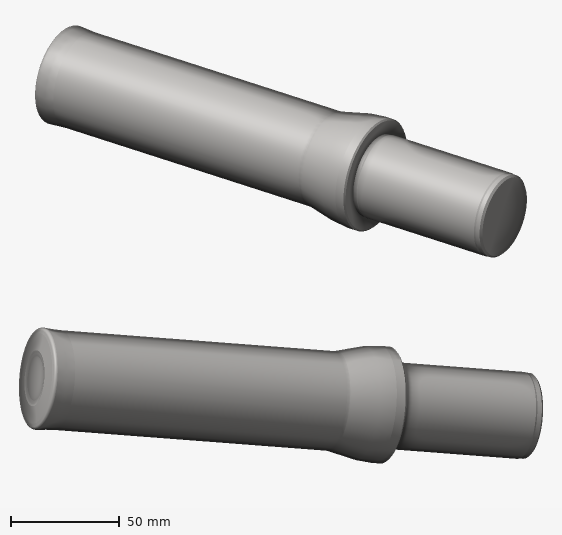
import cadquery as cq

barrel_radius = 46.0 / 2
rim_radius = 23.5
rim_inner_radius = 22.4
end_face_radius = 21.0
recess_lip_radius = 13.0
recess_edge_radius = 12.0
recess_floor_radius = 10.2
collar_radius = 54.0 / 2
shaft_radius = 40.0 / 2
journal_radius = 39.5 / 2

recess_depth = 0.5
recess_edge_depth = 0.2
end_face_setback = 0.7
rim_inner_setback = 1.0
rim_x = 2.5
rim_round = 1.5
rim_taper_end = 11.2
barrel_end = 145.0
flare_start = 146.5
flare_start_radius = barrel_radius + 0.12
flare_start_slope = 0.17
flare_end = 168.0
collar_end = 173.0
collar_chamfer = 0.7

total_length = 243.0
neck_length = 1.7
edge_length = 0.7
tip_length = 3.2
tip_chamfer = 1.0


def revolve_about_x(profile):
    """Close a half profile along the X axis and turn it into a solid."""
    return profile.close().revolve(360, (0, 0, 0), (1, 0, 0))


def make_housing():
    """Barrel with a rounded left rim, a shallow dished end and a flared collar."""
    dished_end = (
        cq.Workplane("XY")
        .moveTo(recess_depth, 0)
        .lineTo(recess_depth, recess_floor_radius)
        .lineTo(recess_edge_depth, recess_edge_radius)
        .lineTo(0, recess_lip_radius)
        .lineTo(end_face_setback, end_face_radius)
        .lineTo(rim_inner_setback, rim_inner_radius)
    )
    barrel = (
        dished_end
        .radiusArc((rim_x, rim_radius), rim_round)
        .lineTo(rim_taper_end, barrel_radius)
        .lineTo(barrel_end, barrel_radius)
        .tangentArcPoint((flare_start, flare_start_radius), relative=False)
    )
    collar = (
        barrel
        .spline(
            [(flare_end, collar_radius)],
            tangents=[(1, flare_start_slope), (1, 0)],
            includeCurrent=True,
        )
        .lineTo(collar_end - collar_chamfer, collar_radius)
        .lineTo(collar_end, collar_radius - collar_chamfer)
        .lineTo(collar_end, 0)
    )
    return revolve_about_x(collar)


def make_shaft():
    """Shaft seated on the collar face, with a reduced neck and a reduced, chamfered tip."""
    neck_end = collar_end + neck_length
    tip_start = total_length - tip_length
    profile = (
        cq.Workplane("XY")
        .moveTo(collar_end, 0)
        .lineTo(collar_end, journal_radius)
        .lineTo(neck_end, journal_radius)
        .lineTo(neck_end + edge_length, shaft_radius)
        .lineTo(tip_start - edge_length, shaft_radius)
        .lineTo(tip_start, journal_radius)
        .lineTo(total_length - tip_chamfer, journal_radius)
        .lineTo(total_length, journal_radius - tip_chamfer)
        .lineTo(total_length, 0)
    )
    return revolve_about_x(profile)


housing = make_housing()
shaft = make_shaft()
result = cq.Compound.makeCompound([housing.val(), shaft.val()])